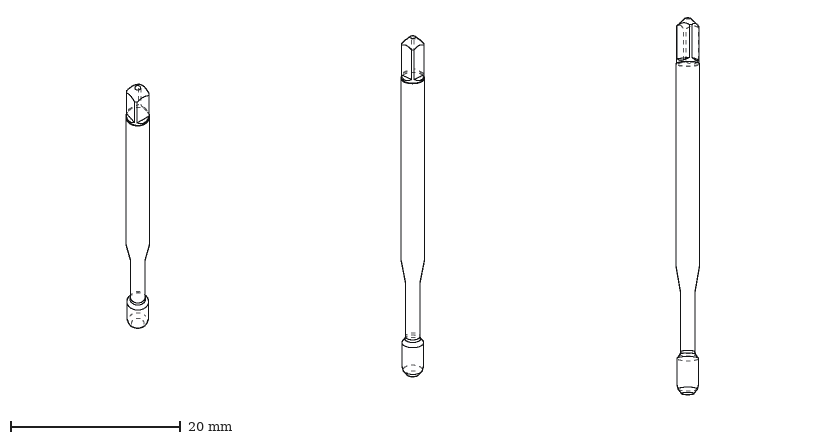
import cadquery as cq

total_length = 45.1
head_lead_mid = 0.55
head_lead_end = 1.1
head_shoulder = 4.2
head_neck_start = 4.7
head_length = 5.0
neck_end = 12.15
taper_end = 15.3
shank_end = 39.6
flats_start = 40.15

shank_diameter = 2.8
drive_diameter = 2.7
head_diameter = 2.55
head_mid_diameter = 2.3
head_tip_diameter = 1.5
neck_diameter = 1.7
neck_root_diameter = 1.85
drive_tip_diameter = 0.68

square_width = 2.1

shank_radius = shank_diameter / 2
drive_radius = drive_diameter / 2
neck_radius = neck_diameter / 2
drive_tip_radius = drive_tip_diameter / 2
shank_chamfer = shank_radius - drive_radius
point_height = drive_radius - drive_tip_radius


def revolved(profile):
    """Turn a closed outline of (radius, height) points about the Z axis."""
    return cq.Workplane("XZ").polyline(profile).close().revolve(360, (0, 0), (0, 1))


def make_head():
    """Cutting head with a double lead-in taper and a slightly flared neck stub."""
    return revolved([
        (0, 0),
        (head_tip_diameter / 2, 0),
        (head_mid_diameter / 2, head_lead_mid),
        (head_diameter / 2, head_lead_end),
        (head_diameter / 2, head_shoulder),
        (neck_root_diameter / 2, head_neck_start),
        (neck_radius, head_length),
        (0, head_length),
    ])


def make_turned_shank():
    """Neck, taper, shank and pointed drive end before the flats are cut."""
    return revolved([
        (0, head_length),
        (neck_radius, head_length),
        (neck_radius, neck_end),
        (shank_radius, taper_end),
        (shank_radius, shank_end),
        (drive_radius, shank_end + shank_chamfer),
        (drive_radius, total_length - point_height),
        (drive_tip_radius, total_length),
        (0, total_length),
    ])


def make_flat_cutter():
    """Material removed for one drive flat, with a 45 degree run-out at its foot."""
    flat_distance = square_width / 2
    runout = shank_radius - flat_distance
    return (
        cq.Workplane("XZ")
        .polyline([
            (flat_distance, flats_start),
            (shank_radius, flats_start - runout),
            (shank_radius, total_length),
            (flat_distance, total_length),
        ])
        .close()
        .extrude(shank_radius, both=True)
    )


def make_shank():
    """Shank body with a square drive at its upper end."""
    shank = make_turned_shank()
    flat_cutter = make_flat_cutter()
    flat_count = 4
    for index in range(flat_count):
        angle = index * 360 / flat_count
        shank = shank.cut(flat_cutter.rotate((0, 0, 0), (0, 0, 1), angle))
    return shank


head = make_head()
shank = make_shank()

result = cq.Compound.makeCompound([head.val(), shank.val()])